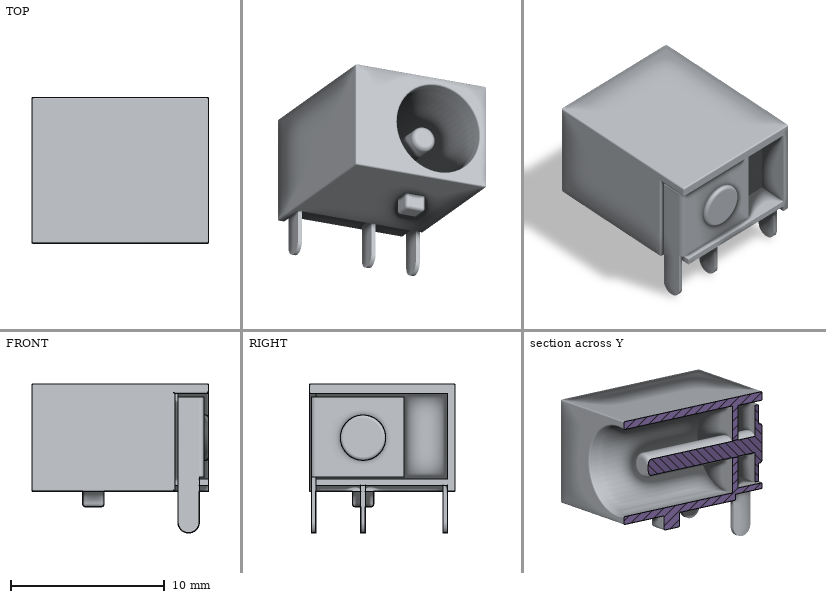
import cadquery as cq
import math


housing_length = 11.5
housing_width = 9.5
housing_height = 7.0
axis_to_side = 3.5
axis_height = housing_height / 2
side_y = -axis_to_side
far_side_y = side_y + housing_width
edge_round = 0.1
cut_overrun = 1

bore_diameter = 6.0
bore_depth = 9.0
bore_round = 0.1

peg_size = 1.4
peg_length = 1.0
peg_x = 4.0
peg_round = 0.2

sheet = 0.3
tail_width = 1.4
tail_drop = 2.7
tail_back_gap = 0.6
tail_back_x = housing_length - tail_back_gap
tail_front_x = tail_back_x - tail_width
tail_radius = tail_width / 2

side_gap = 0.13
pocket_front_x = 9.3
pocket_floor_y = side_y + side_gap + sheet
roof_z = 6.38
relief_height = 0.4
recess_floor_z = 0.82
end_wall = 0.5
end_wall_y = far_side_y - end_wall

roof_gap = 0.22
plate_top_z = roof_z - roof_gap
floor_gap = 0.12
plate_bottom_z = recess_floor_z + floor_gap
plate_side_y = side_y + side_gap
plate_far_y = plate_top_z - axis_height
plate_back_x = tail_back_x + sheet
pin_diameter = 1.65
pin_tip_x = 2.0
pin_tip_round = 0.3
head_diameter = 2.95
head_round = 0.2

blade_top_z = recess_floor_z
middle_blade_y = 0
far_blade_y = end_wall_y - sheet / 2
blade_centres_y = [middle_blade_y, far_blade_y]


def box(x_range, y_range, z_range):
    """Box spanning the given (low, high) ranges."""
    (x0, x1), (y0, y1), (z0, z1) = x_range, y_range, z_range
    return cq.Workplane("XY").box(x1 - x0, y1 - y0, z1 - z0, centered=False).translate((x0, y0, z0))


def axial_cylinder(diameter, x_start, x_end):
    """Cylinder on the jack axis between two X positions."""
    plane = cq.Workplane("YZ", origin=(x_start, 0, axis_height))
    return plane.circle(diameter / 2).extrude(x_end - x_start)


def tail_blade(first_y, top_z):
    """Vertical blade one sheet thick, with a fully rounded lower end."""
    tip_z = -tail_drop
    shoulder_z = tip_z + tail_radius
    return (
        cq.Workplane("XZ", origin=(0, first_y + sheet, 0))
        .moveTo(tail_front_x, top_z)
        .lineTo(tail_front_x, shoulder_z)
        .threePointArc((tail_front_x + tail_radius, tip_z), (tail_back_x, shoulder_z))
        .lineTo(tail_back_x, top_z)
        .close()
        .extrude(sheet)
    )


def make_peg():
    """Square locating peg with rounded sides and end."""
    half = peg_size / 2
    peg = box((peg_x - half, peg_x + half), (-half, half), (-peg_length, axis_height - bore_diameter / 2))
    return peg.edges("|Z").fillet(peg_round).faces("<Z").edges().fillet(peg_round)


def make_rear_plate():
    """Upright plate across the back, its near edge rounded where the sheet bends into the leg."""
    bend_y = plate_side_y + sheet
    arc_reach = sheet * math.sqrt(0.5)
    return (
        cq.Workplane("XY", origin=(0, 0, plate_bottom_z))
        .moveTo(tail_back_x, plate_side_y)
        .threePointArc((tail_back_x + arc_reach, bend_y - arc_reach), (plate_back_x, bend_y))
        .lineTo(plate_back_x, plate_far_y)
        .lineTo(tail_back_x, plate_far_y)
        .close()
        .extrude(plate_top_z - plate_bottom_z)
    )


def make_centre_terminal():
    """Side leg bent round to a rear plate that carries the riveted centre pin."""
    leg = tail_blade(plate_side_y, plate_top_z)
    plate = make_rear_plate()
    pin = axial_cylinder(pin_diameter, pin_tip_x, plate_back_x)
    pin = pin.faces("<X").edges().fillet(pin_tip_round)
    head = axial_cylinder(head_diameter, plate_back_x, housing_length)
    head = head.faces(">X").edges().fillet(head_round)
    return leg.union(plate).union(pin).union(head)


def make_blade_terminal(centre_y):
    """Straight terminal set in a slot through the recess floor."""
    return tail_blade(centre_y - sheet / 2, blade_top_z)


def make_housing():
    """Block with the socket, the terminal spaces and the peg."""
    past_back = housing_length + cut_overrun
    past_side = side_y - cut_overrun
    below = -cut_overrun
    block = box((0, housing_length), (side_y, far_side_y), (0, housing_height))
    block = block.cut(box((pocket_front_x, past_back), (past_side, pocket_floor_y), (below, roof_z)))
    block = block.faces("<X or <Y or >Y or >Z").edges().fillet(edge_round)

    rear_recess = box((tail_front_x, past_back), (past_side, end_wall_y), (recess_floor_z, roof_z))
    relief = box((pocket_front_x, past_back), (past_side, end_wall_y), (below, relief_height))
    body = block.cut(rear_recess).cut(relief)

    bore = axial_cylinder(bore_diameter, 0, bore_depth)
    pin_hole = axial_cylinder(pin_diameter, bore_depth, tail_front_x)
    body = body.union(make_peg()).cut(bore)
    body = body.faces("<X").edges("%CIRCLE").fillet(bore_round).cut(pin_hole)
    for centre_y in blade_centres_y:
        body = body.cut(make_blade_terminal(centre_y))
    return body


housing = make_housing()
centre_terminal = make_centre_terminal()
blade_terminals = [make_blade_terminal(centre_y) for centre_y in blade_centres_y]

result = cq.Compound.makeCompound(
    [housing.val(), centre_terminal.val(), *[blade.val() for blade in blade_terminals]]
)